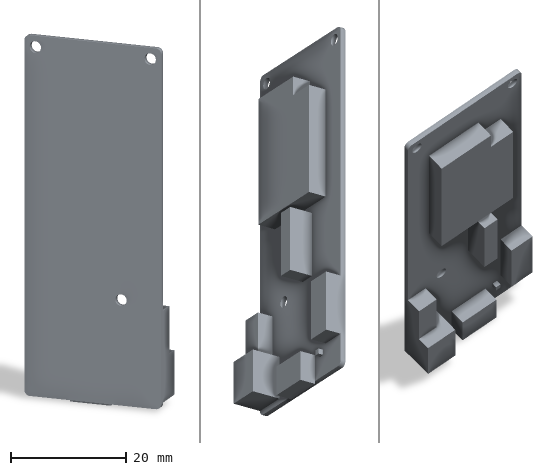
import cadquery as cq

board_width = 25.4
usb_overhang = 0.5
board_length = 65.5 - usb_overhang
board_thickness = 1.0
corner_radius = 1.0

hole_diameter = 2.1
corner_hole_inset = 2.0
lower_hole_x = 17.95
lower_hole_z = 19.0

module_left = 4.7
module_bottom = 34.0
module_width = 16.0
module_length = 24.05
module_height = 3.5
notch_width = 5.0
notch_length = 3.55

connector_height = 3.0
left_connector_width = 4.7
left_connector_bottom = 5.9
left_connector_length = 11.15
right_connector_width = 3.9
right_connector_top = 17.6

tall_width = 6.1
tall_bottom = 1.05
tall_length = 8.0
tall_height = 5.5

chip_left = 9.05
chip_bottom = 20.5
chip_width = 2.95
chip_length = 12.05
chip_height = 4.5

usb_left = 8.1
usb_width = 7.5
usb_length = 5.5
usb_height = 3.0

small_size = 1.0
small_left = 5.5


def component(left, bottom, width, length, height):
    """Block on the board's +Y face, standing out by height."""
    return cq.Workplane("XY").box(width, height, length, centered=False).translate(
        (left, board_thickness, bottom)
    )


def make_board():
    board = cq.Workplane("XY").box(board_width, board_thickness, board_length, centered=False)
    board = board.edges("|Y").fillet(corner_radius)
    corner_hole_z = board_length - corner_hole_inset
    hole_places = [
        (corner_hole_inset, corner_hole_z),
        (board_width - corner_hole_inset, corner_hole_z),
        (lower_hole_x, lower_hole_z),
    ]
    holes = (
        cq.Workplane("XZ")
        .pushPoints(hole_places)
        .circle(hole_diameter / 2)
        .extrude(-board_thickness)
    )
    return board.cut(holes)


def make_module():
    module = component(module_left, module_bottom, module_width, module_length, module_height)
    notch_bottom = module_bottom + module_length - notch_length
    notch = component(module_left, notch_bottom, notch_width, notch_length, module_height)
    return module.cut(notch)


def make_connectors():
    left = component(
        0, left_connector_bottom, left_connector_width, left_connector_length, connector_height
    )
    right_bottom = tall_bottom + tall_length
    right = component(
        board_width - right_connector_width,
        right_bottom,
        right_connector_width,
        right_connector_top - right_bottom,
        connector_height,
    )
    return left, right


left_connector, right_connector = make_connectors()
tall_block = component(board_width - tall_width, tall_bottom, tall_width, tall_length, tall_height)
chip = component(chip_left, chip_bottom, chip_width, chip_length, chip_height)
usb_socket = component(usb_left, -usb_overhang, usb_width, usb_length, usb_height)
small_bottom = usb_length - usb_overhang - small_size
small_part = component(small_left, small_bottom, small_size, small_size, small_size)

result = make_board()
for part in (
    make_module(),
    left_connector,
    right_connector,
    tall_block,
    chip,
    usb_socket,
    small_part,
):
    result = result.union(part)